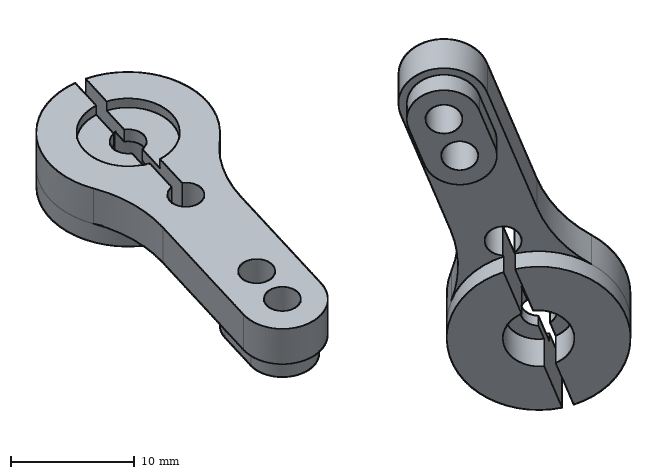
import cadquery as cq
import math

overall_length = 35.13
head_radius = 7.45
arm_half_width = 3.7
neck_radius = 11.8
arm_thickness = 3.8
boss_thickness = 2.0
hole_diameter = 3.0
slit_width = 1.0
slit_end_x = 9.0
link_hole_spacing = 4.0
link_boss_diameter = 6.0
recess_diameter = 8.35
recess_depth = 1.0
socket_diameter = 5.8
socket_depth = 3.5

head_start_x = -math.sqrt(head_radius**2 - (slit_width / 2) ** 2)
arm_end_x = head_start_x + overall_length - arm_half_width
link_hole_xs = (arm_end_x - link_hole_spacing, arm_end_x)
total_height = arm_thickness + boss_thickness

neck_center_y = arm_half_width + neck_radius
neck_center_x = math.sqrt((head_radius + neck_radius) ** 2 - neck_center_y**2)
neck_angle = math.atan2(neck_center_y, neck_center_x)
neck_start = (head_radius * math.cos(neck_angle), head_radius * math.sin(neck_angle))
arc_mid_angle = (neck_angle + math.pi / 2) / 2
neck_mid = (
    neck_center_x - neck_radius * math.cos(arc_mid_angle),
    neck_center_y - neck_radius * math.sin(arc_mid_angle),
)


def mirrored(point):
    """Reflect a point across the arm's centreline."""
    return (point[0], -point[1])


def make_arm():
    """Head, blended neck and round-ended arm, with its underside at Z = 0."""
    neck_end = (neck_center_x, arm_half_width)
    tail_start = (arm_end_x, arm_half_width)
    tail_tip = (arm_end_x + arm_half_width, 0)
    return (
        cq.Workplane("XY")
        .moveTo(*neck_start)
        .threePointArc(neck_mid, neck_end)
        .lineTo(*tail_start)
        .threePointArc(tail_tip, mirrored(tail_start))
        .lineTo(*mirrored(neck_end))
        .threePointArc(mirrored(neck_mid), mirrored(neck_start))
        .threePointArc((-head_radius, 0), neck_start)
        .close()
        .extrude(arm_thickness)
    )


def make_bosses():
    """Round boss below the head and slot-shaped boss below the link holes."""
    head_boss = cq.Workplane("XY").circle(head_radius).extrude(-boss_thickness)
    link_boss = (
        cq.Workplane("XY")
        .center(sum(link_hole_xs) / 2, 0)
        .slot2D(link_hole_spacing + link_boss_diameter, link_boss_diameter)
        .extrude(-boss_thickness)
    )
    return head_boss.union(link_boss)


def make_holes():
    """Through holes for the shaft, the slit end and the links."""
    centers = [(x, 0) for x in (0, slit_end_x, *link_hole_xs)]
    return (
        cq.Workplane("XY", origin=(0, 0, -boss_thickness))
        .pushPoints(centers)
        .circle(hole_diameter / 2)
        .extrude(total_height)
    )


def make_slit():
    """Clamp slit from the open side of the head to the relief hole."""
    return (
        cq.Workplane("XY", origin=(0, 0, -boss_thickness))
        .moveTo((slit_end_x - head_radius) / 2, 0)
        .rect(slit_end_x + head_radius, slit_width)
        .extrude(total_height)
    )


def make_recess():
    """Round recess in the top of the head."""
    return (
        cq.Workplane("XY", origin=(0, 0, arm_thickness))
        .circle(recess_diameter / 2)
        .extrude(-recess_depth)
    )


def make_socket():
    """Wider shaft socket rising from the underside of the head boss."""
    return (
        cq.Workplane("XY", origin=(0, 0, -boss_thickness))
        .circle(socket_diameter / 2)
        .extrude(socket_depth)
    )


result = make_arm().union(make_bosses())
result = result.cut(make_holes()).cut(make_slit()).cut(make_recess()).cut(make_socket())